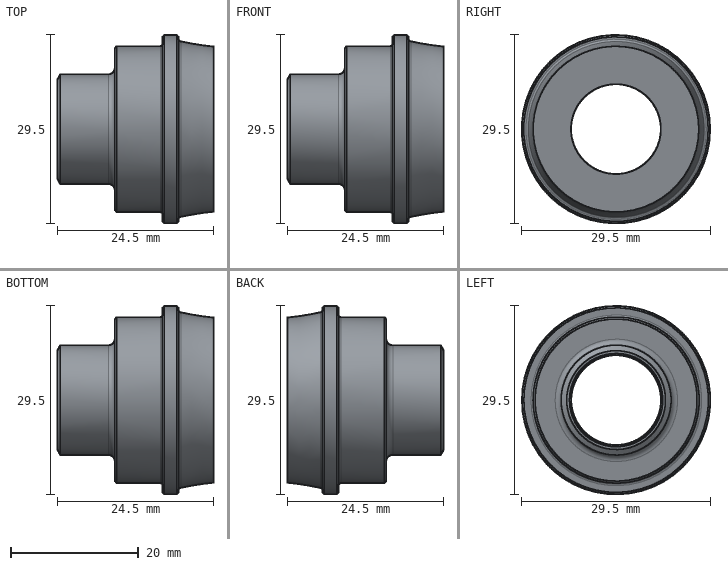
import cadquery as cq
import math

length = 24.5

bore_radius = 14.0 / 2
bore_chamfer = 0.3

spigot_radius = 17.2 / 2
bevel_length = 0.5
bevel_angle = 60
bevel_depth = bevel_length * math.tan(math.radians(bevel_angle))

body_start = 9.0
body_radius = 26.0 / 2
spigot_fillet = 0.97

collar_start = 16.45
collar_end = 19.0
collar_radius = 29.5 / 2
edge_chamfer = 0.32
body_fillet = 0.35

tail_fillet = 0.35
tail_start = collar_end + tail_fillet
tail_start_radius = 13.75
tail_mid = 21.83
tail_mid_radius = 13.28
tail_end_radius = 12.95
tail_land = 0.18


def concave_fillet(profile, start, end, centre):
    """Add a quarter-circle fillet from start to end, hollow towards centre."""
    radius = math.dist(start, centre)
    chord_x = (start[0] + end[0]) / 2 - centre[0]
    chord_r = (start[1] + end[1]) / 2 - centre[1]
    reach = radius / math.hypot(chord_x, chord_r)
    middle = (centre[0] + chord_x * reach, centre[1] + chord_r * reach)
    return profile.lineTo(*start).threePointArc(middle, end)


profile = (
    cq.Workplane("XY")
    .moveTo(bore_chamfer, bore_radius)
    .lineTo(0, bore_radius + bore_chamfer)
    .lineTo(0, spigot_radius - bevel_depth)
    .lineTo(bevel_length, spigot_radius)
)
profile = concave_fillet(
    profile,
    start=(body_start - spigot_fillet, spigot_radius),
    end=(body_start, spigot_radius + spigot_fillet),
    centre=(body_start - spigot_fillet, spigot_radius + spigot_fillet),
)
profile = (
    profile
    .lineTo(body_start, body_radius - edge_chamfer)
    .lineTo(body_start + edge_chamfer, body_radius)
)
profile = concave_fillet(
    profile,
    start=(collar_start - body_fillet, body_radius),
    end=(collar_start, body_radius + body_fillet),
    centre=(collar_start - body_fillet, body_radius + body_fillet),
)
profile = (
    profile
    .lineTo(collar_start, collar_radius - edge_chamfer)
    .lineTo(collar_start + edge_chamfer, collar_radius)
    .lineTo(collar_end - edge_chamfer, collar_radius)
    .lineTo(collar_end, collar_radius - edge_chamfer)
)
profile = concave_fillet(
    profile,
    start=(collar_end, tail_start_radius + tail_fillet),
    end=(tail_start, tail_start_radius),
    centre=(tail_start, tail_start_radius + tail_fillet),
)
profile = (
    profile
    .threePointArc((tail_mid, tail_mid_radius), (length - tail_land, tail_end_radius))
    .lineTo(length, tail_end_radius)
    .lineTo(length, bore_radius)
    .close()
)

result = profile.revolve(360, (0, 0, 0), (1, 0, 0))